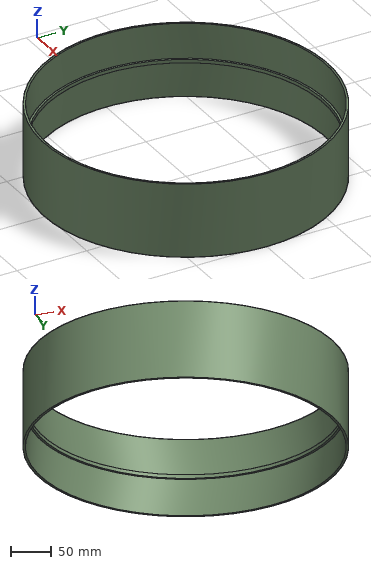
import cadquery as cq

outer_diameter = 406.0
bore_diameter = 400.0
lip_diameter = 394.0
height = 105.0
lip_height = 5.0
lip_center_z = height / 2

sleeve = (
    cq.Workplane("XY")
    .circle(outer_diameter / 2)
    .circle(bore_diameter / 2)
    .extrude(height)
)

lip = (
    cq.Workplane("XY")
    .workplane(offset=lip_center_z - lip_height / 2)
    .circle(outer_diameter / 2)
    .circle(lip_diameter / 2)
    .extrude(lip_height)
)

result = sleeve.union(lip)